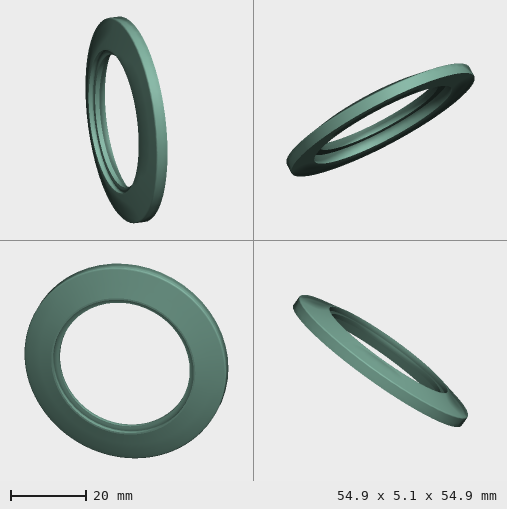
import cadquery as cq
import math

outer_radius = 54.9 / 2
thickness = 5.1
bore_radius = 35.6 / 2
front_recess_radius = 38.4 / 2
front_recess_depth = 1.3
back_recess_radius = 41.2 / 2
bore_length = 1.2
rim_land_width = 0.45
taper_angle = 15
rim_fillet_radius = 0.5

front_y = -thickness
front_step_y = front_y + front_recess_depth
back_step_y = front_step_y + bore_length
taper_inner_radius = front_recess_radius + rim_land_width
taper_height = (outer_radius - taper_inner_radius) * math.tan(math.radians(taper_angle))
taper_start_y = front_y + taper_height

section = [
    (back_recess_radius, 0),
    (outer_radius, 0),
    (outer_radius, taper_start_y),
    (taper_inner_radius, front_y),
    (front_recess_radius, front_y),
    (front_recess_radius, front_step_y),
    (bore_radius, front_step_y),
    (bore_radius, back_step_y),
    (back_recess_radius, back_step_y),
]
ring = cq.Workplane("XY").polyline(section).close().revolve(360, (0, 0, 0), (0, 1, 0))

edge_tolerance = 0.05
outer_edge = cq.selectors.BoxSelector(
    (-outer_radius - 0.55, taper_start_y - edge_tolerance, -outer_radius - 0.55),
    (outer_radius + 0.55, taper_start_y + edge_tolerance, outer_radius + 0.55),
    boundingbox=True,
)
result = ring.edges(outer_edge).fillet(rim_fillet_radius)